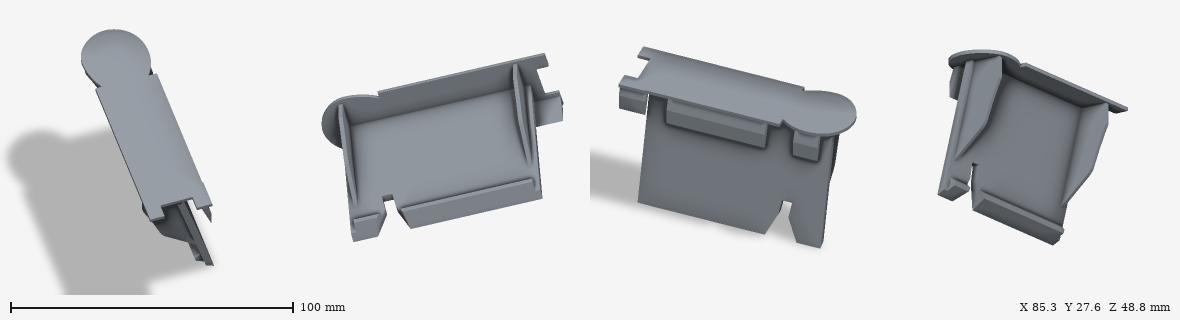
import cadquery as cq
import math


plate_length = 85.25
plate_thickness = 1.4
head_depth = 24.0
head_middle_x = 13.8
head_front_x = 11.6
head_left_y = -12.1
head_rear_right = (20.8, -1.6)
head_rear_left = (4.1, -3.2)
head_front_left = (3.8, -20.7)
head_front_right = (18.6, -22.9)
head_rear_join_y = -3.6
head_front_join_y = -20.7
deck_rear_y = -0.3
deck_front_y = -23.1
deck_rear_x = 23.95
deck_front_x = 23.45
rear_step_x = 75.1
rear_arm_y = -5.7
front_arm_y = -17.7
notch_floor_x = 80.1
front_arm_x = 85.0

panel_left = 6.7
panel_right = 76.55
panel_tilt = math.radians(14.9)
panel_thickness = 2.6
panel_back_y = -9.0
total_height = 48.8
panel_drop = total_height - plate_thickness
tip_y = panel_back_y + panel_drop * math.tan(panel_tilt)
end_slope = math.tan(math.radians(25))

margin = 2.0
lip_top_z = -41.1
lip_nose_z = -43.05
lip_nose_y = -3.0
lip_heel_y = -2.6

slot_top_z = -33.1
slot_neck_z = -38.9
slot_top_x = (19.1, 22.9)
slot_neck_x = (19.9, 23.9)
slot_mouth_x = (15.85, 28.0)
slot_reach = 8.5

rib_thickness = 1.5
rib_front_y = -22.2
rib_front_z = -7.8
rib_waist = (-18.6, -15.7)
rib_bend = (-16.3, -21.6)
rib_elbow = (-15.1, -24.0)
rib_elbow_end = (-13.2, -25.9)
rib_foot_z = -35.1

tab_back_y = -1.8
tab_front_y = -3.9
tab_slope = 0.36
tabs_layout = (
    (9.3, 18.6, 0.0),
    (29.4, 66.9, 0.0),
    (rear_step_x, plate_length, deck_rear_y),
)


def panel_front_y(z):
    """Y of the panel's front face at height z."""
    return panel_back_y - panel_thickness / math.cos(panel_tilt) - z * math.tan(panel_tilt)


def along_x(profile, left, right):
    """Extrude a closed (Y, Z) profile from X = left to X = right."""
    return profile.extrude(right - left).translate((left, 0, 0))


def make_plate():
    """Rounded head, then the deck outline counterclockwise from its front left corner."""
    return (
        cq.Workplane("XY")
        .moveTo(deck_rear_x, head_rear_join_y)
        .spline(
            [
                head_rear_right,
                (head_middle_x, 0),
                head_rear_left,
                (0, head_left_y),
                head_front_left,
                (head_front_x, -head_depth),
            ],
            includeCurrent=True,
        )
        .threePointArc(head_front_right, (deck_front_x, head_front_join_y))
        .lineTo(deck_front_x, deck_front_y)
        .lineTo(front_arm_x, deck_front_y)
        .lineTo(front_arm_x, front_arm_y)
        .lineTo(notch_floor_x, front_arm_y)
        .lineTo(notch_floor_x, rear_arm_y)
        .lineTo(plate_length, rear_arm_y)
        .lineTo(plate_length, 0)
        .lineTo(rear_step_x, 0)
        .lineTo(rear_step_x, deck_rear_y)
        .lineTo(deck_rear_x, deck_rear_y)
        .close()
        .extrude(plate_thickness)
    )


def end_face_z(y):
    """Height of the sloped bottom end face at a given Y."""
    return -panel_drop + (tip_y - y) * end_slope


def end_corner():
    """(Y, Z) where the panel's front face meets the sloped end face."""
    z = end_face_z(panel_front_y(0)) / (1 - math.tan(panel_tilt) * end_slope)
    return panel_front_y(z), z


def make_wall():
    profile = (
        cq.Workplane("YZ")
        .moveTo(panel_back_y, 0)
        .lineTo(tip_y, -panel_drop)
        .lineTo(*end_corner())
        .lineTo(panel_front_y(0), 0)
        .close()
    )
    return along_x(profile, panel_left, panel_right)


def make_lip():
    profile = (
        cq.Workplane("YZ")
        .moveTo(panel_front_y(lip_top_z), lip_top_z)
        .lineTo(lip_nose_y, lip_nose_z)
        .lineTo(lip_heel_y, end_face_z(lip_heel_y))
        .lineTo(*end_corner())
        .close()
    )
    return along_x(profile, panel_left + margin, panel_right - margin)


def make_slot_cutter():
    """Flared slot outline in the XZ plane, carried along Y and open at the bottom."""
    return (
        cq.Workplane("XZ")
        .moveTo(slot_top_x[0], slot_top_z)
        .lineTo(slot_neck_x[0], slot_neck_z)
        .lineTo(slot_mouth_x[0], -panel_drop)
        .lineTo(slot_mouth_x[1], -panel_drop)
        .lineTo(slot_neck_x[1], slot_neck_z)
        .lineTo(slot_top_x[1], slot_top_z)
        .close()
        .extrude(slot_reach, both=True)
    )


def make_panel():
    return make_wall().union(make_lip()).cut(make_slot_cutter())


def make_rib(left):
    profile = (
        cq.Workplane("YZ")
        .moveTo(panel_front_y(0), 0)
        .lineTo(rib_front_y, 0)
        .lineTo(rib_front_y, rib_front_z)
        .threePointArc(rib_waist, rib_bend)
        .threePointArc(rib_elbow, rib_elbow_end)
        .lineTo(panel_front_y(rib_foot_z), rib_foot_z)
        .close()
    )
    return along_x(profile, left, left + rib_thickness)


def make_tab(left, right, rear_y):
    """Leaning tab whose front and back faces both end at an upright rear face."""
    profile = (
        cq.Workplane("YZ")
        .moveTo(tab_front_y, 0)
        .lineTo(tab_back_y, 0)
        .lineTo(rear_y, (tab_back_y - rear_y) / tab_slope)
        .lineTo(rear_y, (tab_front_y - rear_y) / tab_slope)
        .close()
    )
    return along_x(profile, left, right)


plate = make_plate()
panel = make_panel()
rib_lefts = (panel_left + margin, panel_right - margin - rib_thickness)
ribs = [make_rib(left) for left in rib_lefts]
tabs = [make_tab(*placing) for placing in tabs_layout]

result = cq.Compound.makeCompound(
    [plate.val(), panel.val(), *[rib.val() for rib in ribs], *[tab.val() for tab in tabs]]
)